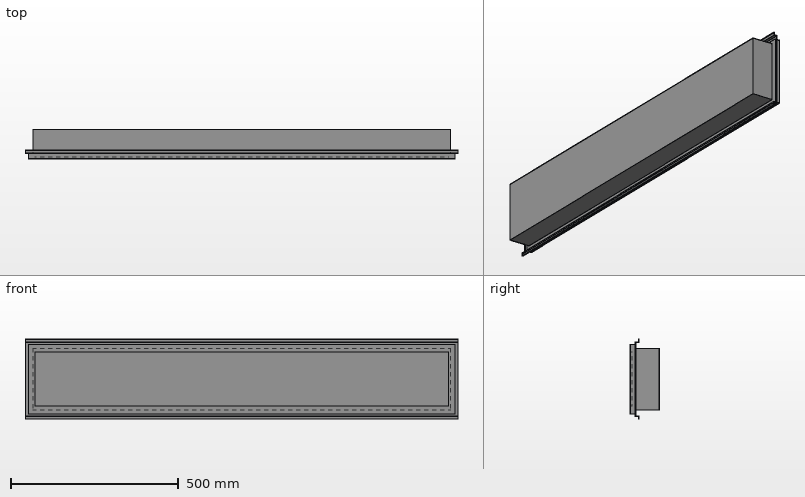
import cadquery as cq

length = 1289.0
depth = 88.0
height = 238.0

frame_end_inset = 9.0
frame_edge_inset = 15.0
frame_depth = 15.0
border_end = 19.0
border_edge = 23.0
recess_depth = 5.0

sheet = 3.0
lip_height = 10.0
lip_back = 27.0

housing_end_inset = 22.0
housing_edge_inset = 27.0

frame_length = length - 2 * frame_end_inset
frame_height = height - 2 * frame_edge_inset
front_face = -depth / 2


def block(size_x, size_z, start, end):
    """Box centred in X and Z, from start to end measured back from the front face."""
    return (
        cq.Workplane("XY")
        .box(size_x, end - start, size_z)
        .translate((0, front_face + (start + end) / 2, 0))
    )


def edge_profile(side):
    """Stepped lip along one long edge: side is 1 for the top, -1 for the bottom."""
    outer = side * height / 2
    step_outer = side * (height / 2 - lip_height + sheet)
    step_inner = side * (height / 2 - lip_height)
    plate_front = front_face + frame_depth
    lip_rear = front_face + lip_back
    return (
        cq.Workplane("YZ")
        .moveTo(plate_front, step_inner)
        .lineTo(lip_rear, step_inner)
        .lineTo(lip_rear, outer)
        .lineTo(lip_rear - sheet, outer)
        .lineTo(lip_rear - sheet, step_outer)
        .lineTo(plate_front, step_outer)
        .close()
        .extrude(length / 2, both=True)
    )


frame = block(frame_length, frame_height, 0, frame_depth)
window = block(frame_length - 2 * border_end, frame_height - 2 * border_edge, 0, recess_depth)

flange = block(length, height - 2 * lip_height, frame_depth, frame_depth + sheet)
for side in (1, -1):
    flange = flange.union(edge_profile(side))

housing = block(
    length - 2 * housing_end_inset,
    height - 2 * housing_edge_inset,
    frame_depth,
    depth,
)

result = frame.cut(window).union(flange).union(housing)